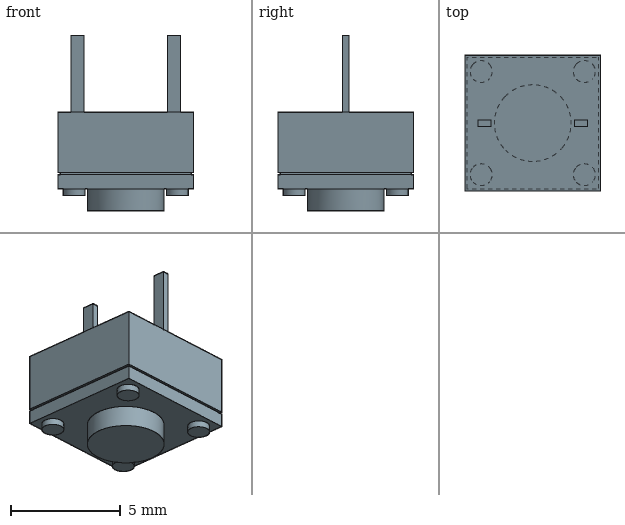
import cadquery as cq

total_height = 8.0
body_width = 6.2
button_diameter = 3.5
button_height = 1.0
plate_thickness = 0.65
groove_height = 0.1
groove_depth = 0.1
pin_length = 3.5
pin_width = 0.6
pin_thickness = 0.3
pin_spacing = 4.4
peg_diameter = 1.0
peg_height = 0.3
peg_spacing = 4.7

plate_bottom = button_height
groove_bottom = plate_bottom + plate_thickness
body_bottom = groove_bottom + groove_height
body_top = total_height - pin_length


def block(width, depth, bottom, top):
    """Centred rectangular block between two levels."""
    return cq.Workplane("XY").workplane(offset=bottom).rect(width, depth).extrude(top - bottom)


neck_width = body_width - 2 * groove_depth
plate = block(body_width, body_width, plate_bottom, groove_bottom)
neck = block(neck_width, neck_width, groove_bottom, body_bottom)
body = block(body_width, body_width, body_bottom, body_top)
housing = plate.union(neck).union(body)

button = cq.Workplane("XY").circle(button_diameter / 2).extrude(button_height)

pegs = (
    cq.Workplane("XY")
    .workplane(offset=plate_bottom - peg_height)
    .rect(peg_spacing, peg_spacing, forConstruction=True)
    .vertices()
    .circle(peg_diameter / 2)
    .extrude(peg_height)
)

pins = (
    cq.Workplane("XY")
    .workplane(offset=body_top)
    .pushPoints([(-pin_spacing / 2, 0), (pin_spacing / 2, 0)])
    .rect(pin_width, pin_thickness)
    .extrude(pin_length)
)

result = housing.union(button).union(pegs).union(pins)